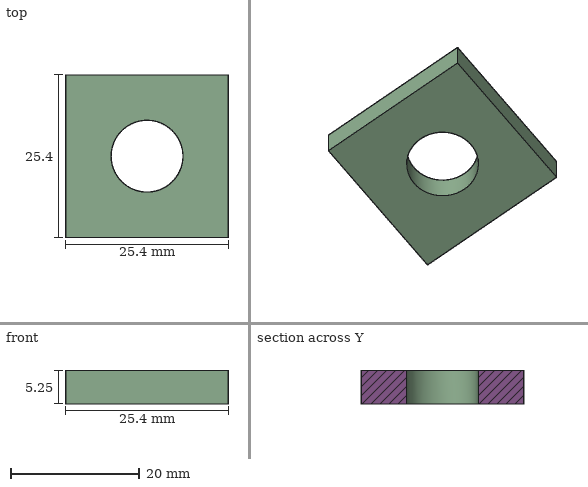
import cadquery as cq

side_length = 25.4
thickness = 5.25
hole_diameter = 11.18

plate = cq.Workplane("XY").box(side_length, side_length, thickness)

result = plate.faces(">Z").workplane().hole(hole_diameter)